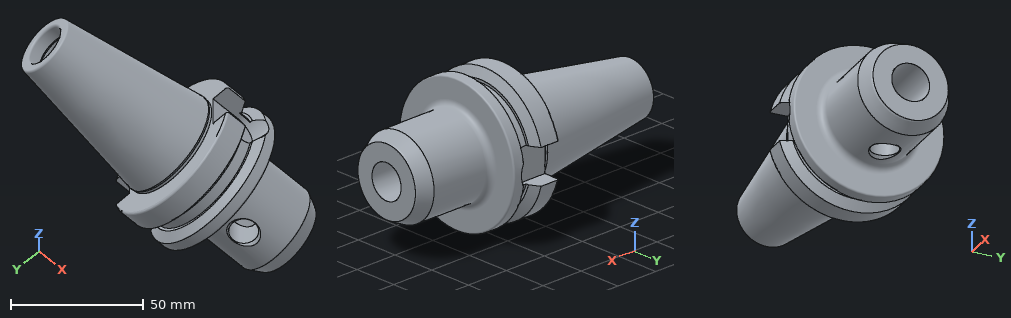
import cadquery as cq
import math

LENGTH = 128.9
TAPER_END = 65.5
NECK_START = 66.3
FLANGE_FRONT = 67.4
GROOVE_FRONT = 77.0
GROOVE_BACK = 86.9
FLANGE_BACK = 92.0
NOSE_CONE_START = 122.3
NOSE_CONE_END = 128.3

GAUGE_RADIUS = 44.5 / 2
TAPER_SLOPE = 7 / 48
NECK_RADIUS = 44.0 / 2
FLANGE_RADIUS = 63.0 / 2
GROOVE_FLANK_RADIUS = 27.3
GROOVE_FLOOR_RADIUS = 26.2
GROOVE_FLANK_ANGLE = 30
NOSE_RADIUS = 38.2 / 2
NOSE_CONE_RADIUS = 16.2
NOSE_FACE_RADIUS = 15.7

TAPER_TIP_ROUND = 0.9
FLANGE_FRONT_ROUND = 1.0
FLANGE_BACK_ROUND = 0.8
NOSE_FILLET = 3.0

ENTRY_RADIUS = 17.0 / 2
MOUTH_ROUND = 1.0
ENTRY_DEPTH = 5.9
RELIEF_FLARE_LENGTH = 0.6
RELIEF_RADIUS = 17.7 / 2
RELIEF_DEPTH = 9.0
THREAD_RADIUS = 13.8 / 2
TOOL_BORE_RADIUS = 15.9 / 2
TOOL_BORE_DEPTH = 49.0

SLOT_WIDTH = 16.0
SLOT_END = 88.3
SLOT_FLOOR_Y = 22.7

SCREW_X = 105.8
SCREW_RADIUS = 11.3 / 2
SCREW_MOUTH_RADIUS = 13.8 / 2


def make_body():
    """Revolve the outside profile about the X axis."""
    flank_run = (FLANGE_RADIUS - GROOVE_FLANK_RADIUS) * math.tan(math.radians(GROOVE_FLANK_ANGLE))
    tip_radius = GAUGE_RADIUS - TAPER_SLOPE * TAPER_END
    taper_angle = math.atan(TAPER_SLOPE)
    tip_setback = TAPER_TIP_ROUND * math.tan((math.pi / 2 - taper_angle) / 2)
    tip_round_end = (
        tip_setback * math.cos(taper_angle),
        tip_radius + tip_setback * math.sin(taper_angle),
    )
    front_rim = FLANGE_RADIUS - FLANGE_FRONT_ROUND
    back_rim = FLANGE_RADIUS - FLANGE_BACK_ROUND
    profile = (
        cq.Workplane("XY")
        .lineTo(0, tip_radius - tip_setback)
        .radiusArc(tip_round_end, TAPER_TIP_ROUND)
        .lineTo(TAPER_END, GAUGE_RADIUS)
        .lineTo(NECK_START, NECK_RADIUS)
        .lineTo(FLANGE_FRONT, NECK_RADIUS)
        .lineTo(FLANGE_FRONT, front_rim)
        .radiusArc((FLANGE_FRONT + FLANGE_FRONT_ROUND, FLANGE_RADIUS), FLANGE_FRONT_ROUND)
        .lineTo(GROOVE_FRONT, FLANGE_RADIUS)
        .lineTo(GROOVE_FRONT + flank_run, GROOVE_FLANK_RADIUS)
        .lineTo(GROOVE_FRONT + flank_run, GROOVE_FLOOR_RADIUS)
        .lineTo(GROOVE_BACK - flank_run, GROOVE_FLOOR_RADIUS)
        .lineTo(GROOVE_BACK - flank_run, GROOVE_FLANK_RADIUS)
        .lineTo(GROOVE_BACK, FLANGE_RADIUS)
        .lineTo(FLANGE_BACK - FLANGE_BACK_ROUND, FLANGE_RADIUS)
        .radiusArc((FLANGE_BACK, back_rim), FLANGE_BACK_ROUND)
        .lineTo(FLANGE_BACK, NOSE_RADIUS + NOSE_FILLET)
        .radiusArc((FLANGE_BACK + NOSE_FILLET, NOSE_RADIUS), -NOSE_FILLET)
        .lineTo(NOSE_CONE_START, NOSE_RADIUS)
        .lineTo(NOSE_CONE_END, NOSE_CONE_RADIUS)
        .lineTo(LENGTH, NOSE_FACE_RADIUS)
        .lineTo(LENGTH, 0)
        .close()
    )
    return profile.revolve(360, (0, 0, 0), (1, 0, 0))


def make_bore():
    """Stepped through bore: drawbar end, thread and tool bore."""
    tool_bore_start = LENGTH - TOOL_BORE_DEPTH
    profile = (
        cq.Workplane("XY")
        .lineTo(0, ENTRY_RADIUS + MOUTH_ROUND)
        .radiusArc((MOUTH_ROUND, ENTRY_RADIUS), -MOUTH_ROUND)
        .lineTo(ENTRY_DEPTH, ENTRY_RADIUS)
        .lineTo(ENTRY_DEPTH + RELIEF_FLARE_LENGTH, RELIEF_RADIUS)
        .lineTo(RELIEF_DEPTH, RELIEF_RADIUS)
        .lineTo(RELIEF_DEPTH, THREAD_RADIUS)
        .lineTo(tool_bore_start, THREAD_RADIUS)
        .lineTo(tool_bore_start, TOOL_BORE_RADIUS)
        .lineTo(LENGTH, TOOL_BORE_RADIUS)
        .lineTo(LENGTH, 0)
        .close()
    )
    return profile.revolve(360, (0, 0, 0), (1, 0, 0))


def make_drive_slot(side):
    """Round-ended slot open toward the taper; side is +1 or -1 along Y."""
    half_width = SLOT_WIDTH / 2
    arc_center_x = SLOT_END - half_width
    depth = FLANGE_RADIUS - SLOT_FLOOR_Y
    return (
        cq.Workplane("XZ", origin=(0, side * SLOT_FLOOR_Y, 0))
        .moveTo(TAPER_END, -half_width)
        .lineTo(arc_center_x, -half_width)
        .threePointArc((SLOT_END, 0), (arc_center_x, half_width))
        .lineTo(TAPER_END, half_width)
        .close()
        .extrude(-side * depth)
    )


def make_screw_hole():
    """Radial hole from -Z into the tool bore, with a 45 degree countersink."""
    mouth_depth = SCREW_MOUTH_RADIUS - SCREW_RADIUS
    return (
        cq.Workplane("XZ", origin=(SCREW_X, 0, 0))
        .lineTo(SCREW_RADIUS, 0)
        .lineTo(SCREW_RADIUS, mouth_depth - NOSE_RADIUS)
        .lineTo(SCREW_MOUTH_RADIUS, -NOSE_RADIUS)
        .lineTo(0, -NOSE_RADIUS)
        .close()
        .revolve(360, (0, 0, 0), (0, 1, 0))
    )


result = make_body().cut(make_bore()).cut(make_screw_hole())
for slot_side in (-1, 1):
    result = result.cut(make_drive_slot(slot_side))